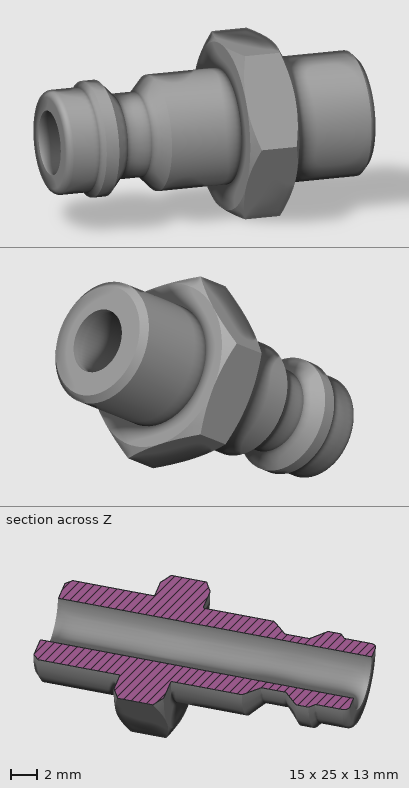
import cadquery as cq
import math

total_length = 25.0
nose_end = 2.62
collar_start = 3.02
collar_end = 4.05
neck_start = 5.2
neck_end = 7.15
body_start = 8.35
hex_start = 14.0
hex_end = 18.0

nose_diameter = 8.1
body_diameter = 9.0
neck_diameter = 6.6
thread_diameter = 9.7
bore_diameter = 5.0

across_flats = 13.0
hex_chamfer_angle = 30.0
nose_fillet = 0.5
thread_chamfer = 0.5

nose_radius = nose_diameter / 2
body_radius = body_diameter / 2
neck_radius = neck_diameter / 2
thread_radius = thread_diameter / 2
flat_radius = across_flats / 2
corner_radius = flat_radius / math.cos(math.radians(30))


def revolve_about_y(profile):
    """Turn a closed XY profile fully around the Y axis."""
    return profile.close().revolve(360, (0, 0, 0), (0, 1, 0))


def make_turned_body():
    """Plug nose, collar, latch neck, shank and thread spigot."""
    fillet_offset = nose_fillet * math.sqrt(0.5)
    fillet_mid = (
        nose_radius - nose_fillet + fillet_offset,
        nose_fillet - fillet_offset,
    )
    profile = (
        cq.Workplane("XY")
        .moveTo(0, 0)
        .lineTo(nose_radius - nose_fillet, 0)
        .threePointArc(fillet_mid, (nose_radius, nose_fillet))
        .lineTo(nose_radius, nose_end)
        .lineTo(body_radius, collar_start)
        .lineTo(body_radius, collar_end)
        .lineTo(neck_radius, neck_start)
        .lineTo(neck_radius, neck_end)
        .lineTo(body_radius, body_start)
        .lineTo(body_radius, hex_start)
        .lineTo(thread_radius, hex_start)
        .lineTo(thread_radius, total_length - thread_chamfer)
        .lineTo(thread_radius - thread_chamfer, total_length)
        .lineTo(0, total_length)
    )
    return revolve_about_y(profile)


def make_hexagon():
    """Wrench hexagon with corners on X, conically chamfered on both faces."""
    prism = (
        cq.Workplane("XZ", origin=(0, hex_start, 0))
        .polygon(6, 2 * corner_radius)
        .extrude(hex_start - hex_end)
    )
    chamfer_depth = (corner_radius - flat_radius) * math.tan(math.radians(hex_chamfer_angle))
    envelope = (
        cq.Workplane("XY")
        .moveTo(0, hex_start)
        .lineTo(flat_radius, hex_start)
        .lineTo(corner_radius, hex_start + chamfer_depth)
        .lineTo(corner_radius, hex_end - chamfer_depth)
        .lineTo(flat_radius, hex_end)
        .lineTo(0, hex_end)
    )
    return prism.intersect(revolve_about_y(envelope))


def make_bore():
    """Through bore along the Y axis."""
    return cq.Workplane("XZ").circle(bore_diameter / 2).extrude(-total_length)


result = make_turned_body().union(make_hexagon()).cut(make_bore())